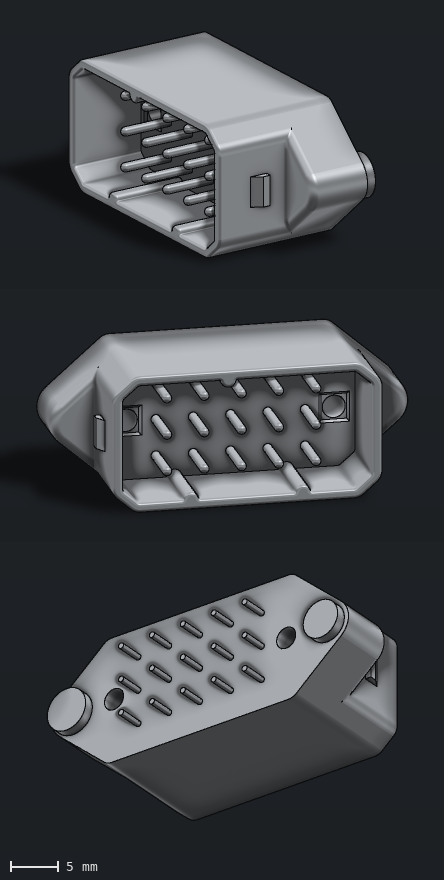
import cadquery as cq
import math

LENGTH = 38.6
HEIGHT = 15.0
DEPTH = 15.5
SLOPE_ANGLE = 40.8
TIP_RADIUS = 2.78
CORNER_RADIUS = 1.62

SHELL_LENGTH = 29.05
WALL = 1.05
END_WALL = 1.12
CAVITY_DEPTH = 8.5
RIM_OUTER_RADIUS = 0.35
RIM_INNER_RADIUS = 0.35

EAR_THICKNESS = 7.03
EAR_EDGE_RADIUS = 0.95
EAR_ROOT_RADIUS = 0.35
FOOT_HEIGHT = 1.2
LEFT_FOOT_RADIUS = 2.25
RIGHT_FOOT_RADIUS = 2.5

PIN_PITCH = 4.0
PIN_COLUMNS = 5
PIN_ROWS = 3
PIN_RADIUS = 0.5
PIN_TIP_Y = 2.5
TAIL_RADIUS = 0.33
TAIL_LENGTH = 3.1

RIB_RADIUS = 0.8
RIB_FOOT_RADIUS = 0.25
TOP_RIB_X = -PIN_PITCH / 2
BOTTOM_RIB_X = 1.5 * PIN_PITCH

HOLE_X = 11.2
HOLE_RADIUS = 1.25
LEAD_IN_SIDE = 3.32
LEAD_IN_DEPTH = 0.27

LATCH_WIDTH = 3.4
LATCH_PROJECTION = 0.7
LATCH_RAMP_START = 3.9
LATCH_RAMP_END = 5.1
LATCH_BACK = 5.95

SLOPE = math.radians(SLOPE_ANGLE)
HALF_HEIGHT = HEIGHT / 2
HALF_SHELL = SHELL_LENGTH / 2
APEX_X = LENGTH / 2 - TIP_RADIUS + TIP_RADIUS / math.sin(SLOPE)
TOP_CORNER_X = APEX_X - HALF_HEIGHT / math.tan(SLOPE)
EAR_CENTER_X = LENGTH / 2 - TIP_RADIUS
EAR_FRONT_Y = DEPTH - EAR_THICKNESS


def plane_at(y):
    """XZ plane at the given depth, its normal facing the front (-Y)."""
    return cq.Workplane(cq.Plane(origin=(0, y, 0), xDir=(1, 0, 0), normal=(0, -1, 0)))


def prism(points, y_start, y_end):
    return plane_at(y_start).polyline(points).close().extrude(y_start - y_end)


def rod(x, z, radius, y_start, y_end):
    return plane_at(y_start).center(x, z).circle(radius).extrude(y_start - y_end)


def shell_prism(y_start, y_end, inset=0.0, end_inset=0.0):
    """Shell outline extruded along Y, moved inward by the insets of its walls and its two ends."""
    end_x = HALF_SHELL - end_inset
    top_z = HALF_HEIGHT - inset
    apex_x = APEX_X - inset / math.sin(SLOPE)
    top_x = apex_x - top_z / math.tan(SLOPE)
    end_z = (apex_x - end_x) * math.tan(SLOPE)
    points = [
        (top_x, top_z), (end_x, end_z), (end_x, -end_z), (top_x, -top_z),
        (-top_x, -top_z), (-end_x, -end_z), (-end_x, end_z), (-top_x, top_z),
    ]
    return prism(points, y_start, y_end).edges("|Y").fillet(CORNER_RADIUS - inset)


def ear_block():
    x, z = TOP_CORNER_X, HALF_HEIGHT
    points = [(x, z), (APEX_X, 0), (x, -z), (-x, -z), (-APEX_X, 0), (-x, z)]
    block = prism(points, EAR_FRONT_Y, DEPTH)
    block = block.edges("|Y").edges("<X or >X").fillet(TIP_RADIUS)
    block = block.edges("|Y").edges(">Z or <Z").fillet(CORNER_RADIUS)
    return block.faces("<Y").edges().fillet(EAR_EDGE_RADIUS)


def cavity():
    """Inside of the shell, with the half-round keying ribs left standing."""
    wall_z = HALF_HEIGHT - WALL
    space = shell_prism(0, CAVITY_DEPTH, WALL, END_WALL)
    for x, z in [(TOP_RIB_X, wall_z), (-BOTTOM_RIB_X, -wall_z), (BOTTOM_RIB_X, -wall_z)]:
        space = space.cut(rod(x, z, RIB_RADIUS, 0, CAVITY_DEPTH))
        for side in (-1, 1):
            foot = (x + side * RIB_RADIUS, CAVITY_DEPTH / 2, z)
            space = space.edges(cq.NearestToPointSelector(foot)).fillet(RIB_FOOT_RADIUS)
    return space


def floor_hole(x):
    """Square lead-in with sloping walls, then a round hole out the back."""
    floor_side = LEAD_IN_SIDE - 2 * LEAD_IN_DEPTH
    lead_in = plane_at(CAVITY_DEPTH).center(x, 0).rect(LEAD_IN_SIDE, LEAD_IN_SIDE)
    lead_in = lead_in.workplane(offset=-LEAD_IN_DEPTH).rect(floor_side, floor_side).loft()
    return lead_in.union(rod(x, 0, HOLE_RADIUS, CAVITY_DEPTH, DEPTH))


def contact_pin(x, z):
    """Round-nosed pin in the cavity, with a thinner tail behind the mounting face."""
    nose_y = PIN_TIP_Y + PIN_RADIUS
    nose = cq.Workplane("XY").sphere(PIN_RADIUS).translate((x, nose_y, z))
    pin = rod(x, z, PIN_RADIUS, nose_y, DEPTH).union(nose)
    return pin.union(rod(x, z, TAIL_RADIUS, CAVITY_DEPTH, DEPTH + TAIL_LENGTH))


def latch(side):
    """Wedge on an end wall: a ramp from the front, then a flat to the square back."""
    wall_x = side * HALF_SHELL
    outer_x = side * (HALF_SHELL + LATCH_PROJECTION)
    root_x = side * (HALF_SHELL - WALL / 2)
    points = [
        (root_x, LATCH_RAMP_START), (wall_x, LATCH_RAMP_START), (outer_x, LATCH_RAMP_END),
        (outer_x, LATCH_BACK), (root_x, LATCH_BACK),
    ]
    return cq.Workplane("XY").polyline(points).close().extrude(LATCH_WIDTH / 2, both=True)


body = shell_prism(0, DEPTH).faces("<Y").edges().fillet(RIM_OUTER_RADIUS)
body = body.union(ear_block())
for side in (-1, 1):
    ear_root = (side * HALF_SHELL, EAR_FRONT_Y, 0)
    body = body.edges(cq.NearestToPointSelector(ear_root)).fillet(EAR_ROOT_RADIUS)

body = body.cut(cavity())
mouth = body.faces("<Y").val().innerWires()[0]
body = body.newObject(mouth.Edges()).fillet(RIM_INNER_RADIUS)
for side in (-1, 1):
    body = body.cut(floor_hole(side * HOLE_X))

for x, radius in [(-EAR_CENTER_X, LEFT_FOOT_RADIUS), (EAR_CENTER_X, RIGHT_FOOT_RADIUS)]:
    body = body.union(rod(x, 0, radius, DEPTH, DEPTH + FOOT_HEIGHT))
for side in (-1, 1):
    body = body.union(latch(side))

for column in range(PIN_COLUMNS):
    for row in range(PIN_ROWS):
        pin_x = (column - (PIN_COLUMNS - 1) / 2) * PIN_PITCH
        pin_z = (row - (PIN_ROWS - 1) / 2) * PIN_PITCH
        body = body.union(contact_pin(pin_x, pin_z))

result = body